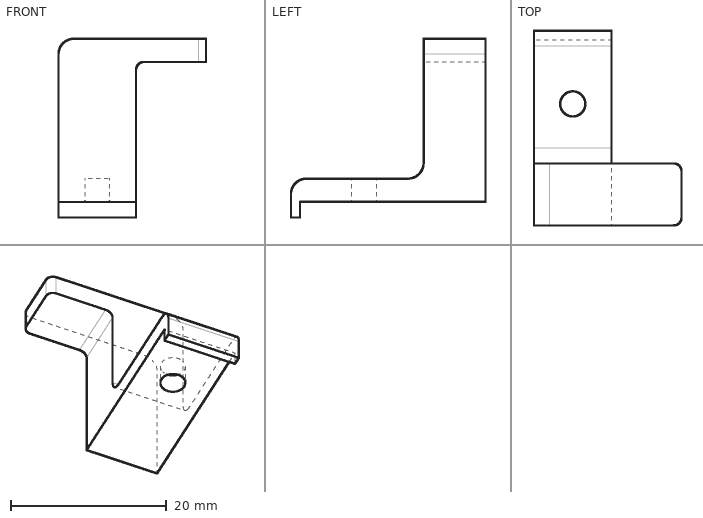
import cadquery as cq

length_x = 19.0
length_y = 25.05
height = 23.0

post_width = 10.0
post_depth = 8.0
plate_thickness = 3.0
arm_thickness = 3.0
lip_drop = 2.0
lip_thickness = 1.2

large_radius = 2.0
small_radius = 1.0

hole_diameter = 3.2
hole_center_y = 15.64

post_height = height - lip_drop


def make_foot():
    """Plate behind the post with a downward lip at its far end."""
    plate = cq.Workplane("XY").box(post_width, length_y, plate_thickness, centered=False)
    lip = (
        cq.Workplane("XY")
        .box(post_width, lip_thickness, lip_drop + plate_thickness, centered=False)
        .translate((0, length_y - lip_thickness, -lip_drop))
    )
    foot = plate.union(lip)
    return foot.edges("|X and >Y and >Z").fillet(large_radius)


def make_post_and_arm():
    """Upright post with an arm reaching out in +X, flush with its top."""
    post = cq.Workplane("XY").box(post_width, post_depth, post_height, centered=False)
    arm = (
        cq.Workplane("XY")
        .box(length_x, post_depth, arm_thickness, centered=False)
        .translate((0, 0, post_height - arm_thickness))
    )
    inner_corner = cq.NearestToPointSelector(
        (post_width, post_depth / 2, post_height - arm_thickness)
    )
    body = post.union(arm)
    body = body.edges("|Y and <X and >Z").fillet(large_radius)
    body = body.edges(inner_corner).fillet(small_radius)
    return body.edges("|Z and >X").fillet(small_radius)


def make_root_round():
    """Concave round where the post rises from the foot plate."""
    block = (
        cq.Workplane("XY")
        .box(post_width, large_radius, large_radius, centered=False)
        .translate((0, post_depth, plate_thickness))
    )
    scoop = (
        cq.Workplane("YZ")
        .center(post_depth + large_radius, plate_thickness + large_radius)
        .circle(large_radius)
        .extrude(post_width)
    )
    return block.cut(scoop)


screw_hole = (
    cq.Workplane("XY")
    .center(post_width / 2, hole_center_y)
    .circle(hole_diameter / 2)
    .extrude(plate_thickness)
)

result = make_foot().union(make_post_and_arm()).union(make_root_round()).cut(screw_hole)